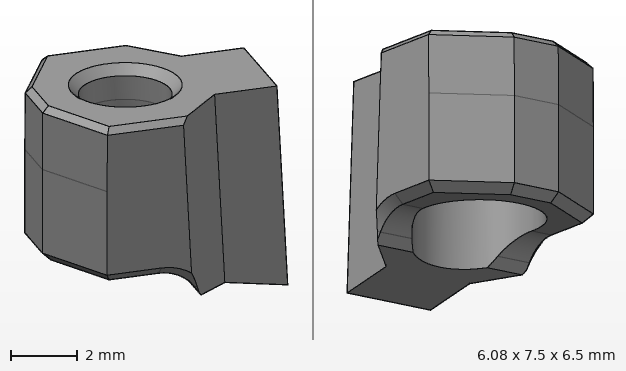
import cadquery as cq
import math

width = 6.08
length = 7.5
height = 6.5
front_y = -2.895
back_y = front_y + length

nose_width = 1.635
nose_angle = 30.0
nose_draft = 0.5
draft_depth = 2.02
top_chamfer = 0.195
bottom_chamfer = 0.29

tail_width = 3.08
back_tilt = 3.0
shoulder_y = 2.295

body_height = 5.025
heel_start_y = 0.11
heel_radius = 1.39
heel_angle = 55.0
heel_slope = 10.0

bore_radius = 1.4
sink_radius = 1.7
flare_start = 1.065
flare_radius = 4.875
relief_radius = 2.02

margin = 1.5
selection_slack = 0.075


def tan_deg(angle):
    return math.tan(math.radians(angle))


def nose_outline():
    """Closed nose outline whose slanted sides run on past the block width."""
    half_nose = nose_width / 2
    half_wide = width / 2 + margin
    wide_y = front_y + (half_wide - half_nose) * tan_deg(nose_angle)
    far_y = back_y + margin
    outline = [
        (-half_nose, front_y),
        (half_nose, front_y),
        (half_wide, wide_y),
        (half_wide, far_y),
        (-half_wide, far_y),
        (-half_wide, wide_y),
    ]
    return cq.Workplane("XY").workplane(offset=-draft_depth).polyline(outline).close()


def nose_block():
    """Full-width block; the nose faces are upright below and slightly drafted above."""
    lower = nose_outline().extrude(draft_depth - height)
    upper = nose_outline().extrude(draft_depth, taper=nose_draft)
    trim = cq.Workplane("XY").box(width, 2 * length, height, centered=(True, True, False))
    return lower.union(upper, clean=False).intersect(trim.translate((0, 0, -height)))


def underside_cut():
    """Space below the flat floor, the curved heel and the sloping tail."""
    turn = math.radians(heel_angle)
    centre_z = -body_height - heel_radius

    def on_arc(angle):
        return (
            heel_start_y + heel_radius * math.sin(angle),
            centre_z + heel_radius * math.cos(angle),
        )

    arc_end_y, arc_end_z = on_arc(turn)
    slope_z_at_arc_end = -height + (back_y - arc_end_y) * tan_deg(heel_slope)
    run = (arc_end_z - slope_z_at_arc_end) / (math.tan(turn) - tan_deg(heel_slope))
    toe = (arc_end_y + run, arc_end_z - run * math.tan(turn))
    far_y = back_y + margin
    return (
        cq.Workplane("YZ")
        .moveTo(front_y - margin, -body_height)
        .lineTo(heel_start_y, -body_height)
        .threePointArc(on_arc(turn / 2), (arc_end_y, arc_end_z))
        .lineTo(*toe)
        .lineTo(far_y, -height - margin * tan_deg(heel_slope))
        .lineTo(far_y, -height - margin)
        .lineTo(front_y - margin, -height - margin)
        .close()
        .extrude(width, both=True)
    )


def tilted_envelope():
    """Tail and shoulder outline, leaning back towards the bottom."""
    half = width / 2
    half_tail = tail_width / 2
    back_top_y = back_y - height * tan_deg(back_tilt)
    shoulder_end_y = shoulder_y - (half + margin - half_tail)
    start_y = front_y - margin
    outline = [
        (-half - margin, start_y),
        (half + margin, start_y),
        (half + margin, shoulder_end_y),
        (half_tail, shoulder_y),
        (half_tail, back_top_y),
        (-half_tail, back_top_y),
        (-half_tail, shoulder_y),
        (-half - margin, shoulder_end_y),
    ]
    shift = height * tan_deg(back_tilt)
    path = cq.Workplane("YZ").lineTo(shift, -height)
    return cq.Workplane("XY").polyline(outline).close().sweep(path)


def bore():
    """Countersunk hole that flares smoothly into the wide relief below."""
    sink_depth = sink_radius - bore_radius
    flare_angle = math.acos(1 - (relief_radius - bore_radius) / flare_radius)

    def on_flare(angle):
        return (
            bore_radius + flare_radius * (1 - math.cos(angle)),
            -flare_start - flare_radius * math.sin(angle),
        )

    return (
        cq.Workplane("XZ")
        .moveTo(0, 0)
        .lineTo(sink_radius, 0)
        .lineTo(bore_radius, -sink_depth)
        .lineTo(bore_radius, -flare_start)
        .threePointArc(on_flare(flare_angle / 2), on_flare(flare_angle))
        .lineTo(relief_radius, -height)
        .lineTo(0, -height)
        .close()
        .revolve(360, (0, 0), (0, 1))
    )


block = nose_block().cut(underside_cut())

block = block.faces(">Z").edges("not(>Y)").chamfer(top_chamfer)

rim_front = front_y - selection_slack
rim_back = heel_start_y + heel_radius + selection_slack
rim_top = -body_height + selection_slack
heel_rim = cq.selectors.BoxSelector((-width, rim_front, -height), (width, rim_back, rim_top))
block = block.edges(heel_rim).edges("(not |X) or <Y").chamfer(bottom_chamfer)

result = block.intersect(tilted_envelope()).cut(bore())